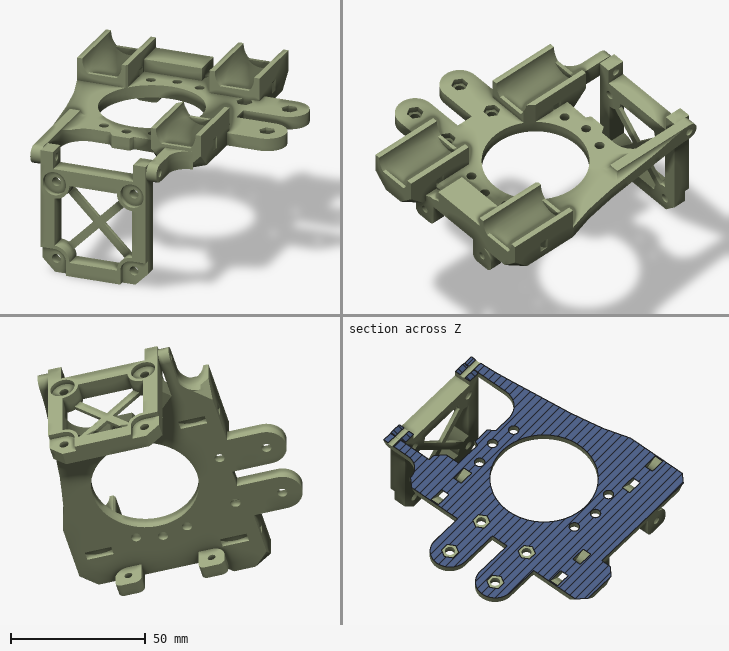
import cadquery as cq
import math


overall_x = 90.58
overall_y = 105.31
overall_z = 56.4

plate_thickness = 5.0
bore_radius = 20.0
plate_rear = 40.9
bolt_circle_radius = 25.0
bolt_spread = 23.0
screw_radius = 1.85
rear_block_right = 8.1
rear_block_front = 29.2
rear_block_top = 10.0
left_edge_bends = [(-31.9, 1.9), (-30.6, -5.2), (-29.4, -12.2), (-26.4, -39.1), (-25.8, -45.1)]
left_edge_end_y = -50.85
opening_corner = 9.0
opening_rear = -28.0
front_boss = [(-5.4, opening_rear), (-3.5, -30.6), (3.5, -30.6), (4.5, -28.7)]
plate_front_right = -29.2
plate_right_front = -10.0

cradle_width = 20.0
cradle_length = 28.5
cradle_top = 14.1
cradle_offset = 25.0
left_cradle_rear = plate_rear
right_cradle_rear = 48.25
front_cradle_rear = -9.6
front_cradle_front = front_cradle_rear - cradle_length
bearing_radius = 7.9
bearing_axis_height = 13.8
lip_length = 1.4
lip_height = 8.4
corner_cut = 5.85
tie_width = 3.5
tie_inner_radius = 11.8
tie_outer_radius = 14.7

tab_radius = 7.5
tab_centres_y = (17.1, -4.9)
tab_end_x = overall_x - cradle_offset - cradle_width / 2
tab_outer_hole_x = tab_end_x - tab_radius
tab_inner_hole_x = 30.1
tab_slot_x = 32.7
nut_across_corners = 6.35
nut_depth = 2.5

arm_width = 4.1
arm_tip = right_cradle_rear - overall_y
hub_radius = 3.55
hub_hole_radius = 1.5
arm_height = 2 * hub_radius
hub_y = arm_tip + hub_radius
left_arm_inner_x = -21.4
left_arm_outer_x = left_arm_inner_x - arm_width
right_arm_inner_x = 20.8
right_arm_outer_x = right_arm_inner_x + arm_width
right_arm_fillet = 7.0
rib_rear = -17.9
rib_flare = arm_height - plate_thickness

frame_centre_x = -0.35
frame_half_width = 21.0
frame_depth = 7.15
frame_bottom = cradle_top - overall_z
frame_hole_spacing = 31.0
frame_hole_radius = 1.75
frame_lower_hole_z = -36.85
frame_ring_radius = 6.0
frame_corner_chamfer = 4.9
relief_radius = 4.65
relief_depth = 2.1
cheek_width = 5.0
cheek_top = 6.8
brace_width = 3.1
brace_depth = 1.5

lug_spacing = 32.0
lug_radius = 5.0
lug_hole_radius = 1.5
lug_thickness = 5.1
lug_lower_corner = 2.4

relief_front = plate_rear - lug_thickness
relief_step = 1.0
relief_ramp = 1.9
fairing_radius = 1.3
fairing_length = 3.7
relief_start = 0.7
relief_bevel = 1.4


def box(x0, x1, y0, y1, z0, z1):
    return cq.Workplane("XY").box(x1 - x0, y1 - y0, z1 - z0, centered=False).translate((x0, y0, z0))


def rod_x(x0, x1, y, z, radius):
    return cq.Workplane("YZ", origin=(x0, 0, 0)).center(y, z).circle(radius).extrude(x1 - x0)


def rod_y(x, y0, y1, z, radius):
    return cq.Workplane("XZ", origin=(0, y0, 0)).center(x, z).circle(radius).extrude(y0 - y1)


def plate_outline(height):
    """Plate with its tapering left edge, running into the left arm, and its scalloped front edge."""
    diagonal = opening_corner * math.sqrt(0.5)
    corner_x = left_arm_inner_x + opening_corner
    corner_y = opening_rear - opening_corner
    return (
        cq.Workplane("XY")
        .moveTo(-cradle_offset, plate_rear)
        .lineTo(-cradle_offset - cradle_width / 2, left_cradle_rear - cradle_length)
        .polyline(left_edge_bends, includeCurrent=True)
        .lineTo(left_arm_outer_x, left_edge_end_y)
        .lineTo(left_arm_outer_x, hub_y)
        .lineTo(left_arm_inner_x, hub_y)
        .lineTo(left_arm_inner_x, corner_y)
        .threePointArc((corner_x - diagonal, corner_y + diagonal), (corner_x, opening_rear))
        .polyline(front_boss, includeCurrent=True)
        .lineTo(cradle_offset, plate_front_right)
        .lineTo(tab_slot_x, plate_right_front)
        .lineTo(tab_slot_x, tab_centres_y[0])
        .lineTo(cradle_offset, plate_rear)
        .close()
        .extrude(height)
    )


def make_tab(y):
    """Round-ended tab."""
    tab = box(cradle_offset, tab_outer_hole_x, y - tab_radius, y + tab_radius, 0, plate_thickness)
    tip = cq.Workplane("XY").center(tab_outer_hole_x, y).circle(tab_radius).extrude(plate_thickness)
    return tab.union(tip)


def make_tab_holes():
    """Screw holes in the tabs, each with a hexagonal nut pocket on top."""
    points = [(x, y) for x in (tab_inner_hole_x, tab_outer_hole_x) for y in tab_centres_y]
    holes = cq.Workplane("XY").pushPoints(points).circle(screw_radius).extrude(plate_thickness)
    pockets = (
        cq.Workplane("XY", origin=(0, 0, plate_thickness - nut_depth))
        .pushPoints(points)
        .polygon(6, nut_across_corners)
        .extrude(nut_depth)
    )
    return holes.union(pockets)


def make_bolt_holes():
    """Three holes in front of the bore and three behind it, on one bolt circle."""
    angles = [side + step * bolt_spread for side in (90, 270) for step in (-1, 0, 1)]
    points = [
        (bolt_circle_radius * math.cos(math.radians(a)), bolt_circle_radius * math.sin(math.radians(a)))
        for a in angles
    ]
    return cq.Workplane("XY").pushPoints(points).circle(screw_radius).extrude(plate_thickness)


def make_cradle_block(x, rear, cut_corners):
    """Solid cradle block; cut_corners lists the lower corners, as (x side, y side), sliced off obliquely."""
    half_width = cradle_width / 2
    half_length = cradle_length / 2
    y = rear - half_length
    block = box(x - half_width, x + half_width, y - half_length, y + half_length, 0, cradle_top)
    for side_x, side_y in cut_corners:
        corner_x = x + side_x * half_width
        corner_y = y + side_y * half_length
        slice_base = [
            (corner_x, corner_y),
            (corner_x - side_x * corner_cut, corner_y),
            (corner_x, corner_y - side_y * corner_cut),
        ]
        apex = cq.Vector(corner_x, corner_y, corner_cut)
        base = [cq.Vector(px, py, 0) for px, py in slice_base]
        outlines = [base] + [[base[i], base[(i + 1) % 3], apex] for i in range(3)]
        faces = [cq.Face.makeFromWires(cq.Wire.makePolygon(pts, close=True)) for pts in outlines]
        block = block.cut(cq.Workplane(cq.Solid.makeSolid(cq.Shell.makeShell(faces))))
    return block


def make_cradle_hollow(x, rear):
    """Bearing groove with a raised lip at each end, and the curved cable-tie passage under it."""
    front = rear - cradle_length
    middle = rear - cradle_length / 2
    groove = rod_y(x, front, rear, bearing_axis_height, bearing_radius)
    for lip_start in (front, rear - lip_length):
        groove = groove.cut(
            box(x - bearing_radius, x + bearing_radius, lip_start, lip_start + lip_length, 0, lip_height)
        )
    tie_front = middle - tie_width / 2
    tie_rear = middle + tie_width / 2
    passage = (
        rod_y(x, tie_front, tie_rear, bearing_axis_height, tie_outer_radius)
        .cut(rod_y(x, tie_front, tie_rear, bearing_axis_height, tie_inner_radius))
        .intersect(
            box(x - cradle_width / 2, x + cradle_width / 2, tie_front, tie_rear, 0, bearing_axis_height)
        )
    )
    return groove.union(passage)


def make_arm(x, rear):
    """Straight arm with a half-round hub end."""
    arm = box(x, x + arm_width, hub_y, rear, 0, arm_height)
    return arm.union(rod_x(x, x + arm_width, hub_y, hub_radius, hub_radius))


def make_rib_flare():
    """Concave flare from the left arm's rib down to the plate, kept within the plate outline."""
    x0 = left_arm_outer_x - rib_flare
    x1 = left_arm_inner_x + rib_flare
    rear = rib_rear + rib_flare
    flare = box(x0, x1, hub_y, rear, plate_thickness, arm_height)
    for x in (x0, x1):
        flare = flare.cut(rod_y(x, hub_y, rear, arm_height, rib_flare))
    flare = flare.cut(rod_x(x0, x1, rear, arm_height, rib_flare))
    return flare.intersect(plate_outline(arm_height))


def make_right_arm_fillet():
    """Concave web between the right arm and the front cradle."""
    x = right_arm_outer_x
    y = front_cradle_front
    diagonal = right_arm_fillet * (1 - math.sqrt(0.5))
    return (
        cq.Workplane("XY")
        .moveTo(x, y)
        .lineTo(x, y - right_arm_fillet)
        .threePointArc((x + diagonal, y - diagonal), (x + right_arm_fillet, y))
        .close()
        .extrude(arm_height)
    )


def make_rear_relief():
    """Stepped recess in the plate between the rear block and the right cradle, bevelled at its front."""
    x0 = rear_block_right
    x1 = cradle_offset - cradle_width / 2
    first_ramp = x0 + relief_start
    second_ramp = first_ramp + 2 * relief_ramp
    profile = [
        (first_ramp, plate_thickness),
        (first_ramp + relief_ramp, plate_thickness - relief_step),
        (second_ramp, plate_thickness - relief_step),
        (second_ramp + relief_ramp, plate_thickness - 2 * relief_step),
        (x1, plate_thickness - 2 * relief_step),
        (x1, plate_thickness),
    ]
    steps = cq.Workplane("XZ", origin=(0, plate_rear, 0)).polyline(profile).close().extrude(lug_thickness)
    bevel = (
        cq.Workplane("YZ", origin=(x0, 0, 0))
        .moveTo(relief_front - relief_bevel, plate_thickness)
        .lineTo(relief_front, plate_thickness)
        .lineTo(relief_front, plate_thickness - relief_step)
        .close()
        .extrude(x1 - x0)
    )
    return steps.union(bevel)


def make_block_fairing():
    """Small concave fairing between the side of the rear block and the plate, narrowing to the front."""
    size = fairing_radius
    x = rear_block_right
    rear = relief_front
    fairing = (
        cq.Workplane("XY", origin=(0, 0, plate_thickness))
        .moveTo(x, rear)
        .lineTo(x, rear - fairing_length)
        .lineTo(x + size, rear - relief_bevel)
        .lineTo(x + size, rear)
        .close()
        .extrude(size)
    )
    return fairing.cut(rod_y(x + size, rear - fairing_length, rear, plate_thickness + size, size))


def make_carriage():
    cradles = [
        (-cradle_offset, left_cradle_rear, [(-1, 1)]),
        (cradle_offset, right_cradle_rear, [(-1, 1), (1, 1)]),
        (cradle_offset, front_cradle_rear, [(-1, -1), (1, -1)]),
    ]
    body = plate_outline(plate_thickness)
    for y in tab_centres_y:
        body = body.union(make_tab(y))
    slot_front = tab_centres_y[1] + tab_radius
    slot_rear = tab_centres_y[0] - tab_radius
    body = body.cut(box(tab_slot_x, tab_end_x, slot_front, slot_rear, 0, plate_thickness))
    body = body.cut(make_rear_relief())
    body = body.union(
        box(-cradle_offset, rear_block_right, rear_block_front, plate_rear, 0, rear_block_top)
    )
    body = body.union(make_block_fairing())
    for x, rear, cut_corners in cradles:
        body = body.union(make_cradle_block(x, rear, cut_corners))
    for x, rear, _ in cradles:
        body = body.cut(make_cradle_hollow(x, rear))
    body = body.cut(cq.Workplane("XY").circle(bore_radius).extrude(cradle_top))
    body = body.cut(make_tab_holes()).cut(make_bolt_holes())
    body = body.union(make_rib_flare())
    body = body.union(make_arm(left_arm_outer_x, rib_rear))
    body = body.union(make_arm(right_arm_inner_x, front_cradle_front))
    body = body.union(make_right_arm_fillet())
    return body.cut(rod_x(left_arm_outer_x, right_arm_outer_x, hub_y, hub_radius, hub_hole_radius))


def make_frame():
    left = frame_centre_x - frame_half_width
    right = frame_centre_x + frame_half_width
    front = arm_tip
    rear = arm_tip + frame_depth
    half_spacing = frame_hole_spacing / 2
    upper_hole_z = frame_lower_hole_z + frame_hole_spacing
    middle_z = (upper_hole_z + frame_lower_hole_z) / 2
    hole_sides = (-1, 1)

    frame = box(left, right, front, rear, frame_bottom, 0)
    frame = frame.edges("|Y and <Z").chamfer(frame_corner_chamfer)
    window_left = frame_centre_x - half_spacing
    window_right = frame_centre_x + half_spacing
    window = box(window_left, window_right, front, rear, frame_lower_hole_z, upper_hole_z)
    frame = frame.cut(window)

    for angle in (45, -45):
        brace = (
            cq.Workplane("XY")
            .box(frame_hole_spacing * math.sqrt(2), brace_depth, brace_width)
            .rotate((0, 0, 0), (0, 1, 0), angle)
            .translate((frame_centre_x, rear - brace_depth / 2, middle_z))
        )
        frame = frame.union(brace.intersect(window))

    for side in hole_sides:
        x = frame_centre_x + side * half_spacing
        for z in (frame_lower_hole_z, upper_hole_z):
            frame = frame.union(rod_y(x, front, rear, z, frame_ring_radius).intersect(window))
    for side in hole_sides:
        x = frame_centre_x + side * half_spacing
        inner_x = x - side * relief_radius
        outer_x = frame_centre_x + side * frame_half_width
        relief_rear = front + relief_depth
        for z in (frame_lower_hole_z, upper_hole_z):
            frame = frame.cut(rod_y(x, front, rear, z, frame_hole_radius))
            frame = frame.cut(rod_y(x, front, relief_rear, z, relief_radius))
        low, high = frame_lower_hole_z, frame_lower_hole_z + relief_radius
        frame = frame.cut(box(min(x, outer_x), max(x, outer_x), front, relief_rear, frame_bottom, high))
        frame = frame.cut(
            box(min(inner_x, outer_x), max(inner_x, outer_x), front, relief_rear, frame_bottom, low)
        )

    for x in (left, right - cheek_width):
        frame = frame.union(box(x, x + cheek_width, front, rear, 0, cheek_top))
    return frame.cut(rod_x(left, right, hub_y, hub_radius, hub_hole_radius))


def make_lug(side):
    """Lug under the plate's rear edge, rounded on its outer side and square where it meets the plate."""
    x = frame_centre_x + side * lug_spacing / 2
    inner_x = x - side * lug_radius
    outer_x = x + side * lug_radius
    bottom = -2 * lug_radius
    corner = lug_lower_corner
    bulge = corner * (1 - math.sqrt(0.5))
    crown = lug_radius * math.sqrt(0.5)
    lug = (
        cq.Workplane("XZ", origin=(0, plate_rear, 0))
        .moveTo(inner_x, 0)
        .lineTo(x, 0)
        .threePointArc((x + side * crown, crown - lug_radius), (outer_x, -lug_radius))
        .lineTo(outer_x, bottom + corner)
        .threePointArc((outer_x - side * bulge, bottom + bulge), (outer_x - side * corner, bottom))
        .lineTo(inner_x + side * corner, bottom)
        .threePointArc((inner_x + side * bulge, bottom + bulge), (inner_x, bottom + corner))
        .close()
        .extrude(lug_thickness)
    )
    return lug.cut(rod_y(x, plate_rear - lug_thickness, plate_rear, -lug_radius, lug_hole_radius))


carriage = make_carriage()
frame = make_frame()
lugs = [make_lug(side) for side in (-1, 1)]

result = cq.Compound.makeCompound([carriage.val(), frame.val(), *[lug.val() for lug in lugs]])